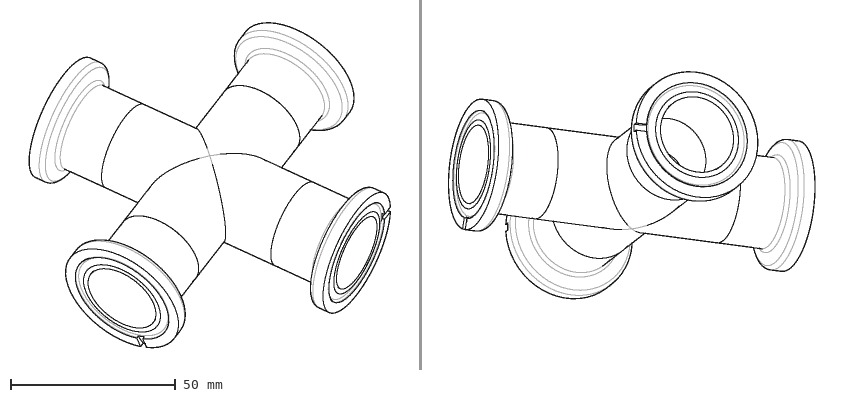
import cadquery as cq
import math

span = 104.0
ferrule_length = 22.0
pipe_radius = 28.0 / 2
bore_radius = 24.0 / 2

flange_radius = 40.0 / 2
flange_rim_width = 4.8
back_cone_angle = 15.0
rim_fillet = 1.6
neck_fillet = 1.4

groove_inner_radius = 13.6
groove_outer_radius = 16.5
groove_cone_angle = 20.0
groove_fillet = 0.5

notch_width = 2.3
notch_inner_depth = 0.7
notch_rim_depth = 1.6

half_span = span / 2
cross_reach = half_span - ferrule_length


def flange_and_neck():
    """Solid of revolution about Z: end face at Z = 0, neck running up to Z = ferrule_length."""
    cone_rise = (flange_radius - pipe_radius) * math.tan(math.radians(back_cone_angle))
    neck_start = flange_rim_width + cone_rise
    body = (
        cq.Workplane("XZ")
        .moveTo(0, 0)
        .lineTo(flange_radius, 0)
        .lineTo(flange_radius, flange_rim_width)
        .lineTo(pipe_radius, neck_start)
        .lineTo(pipe_radius, ferrule_length)
        .lineTo(0, ferrule_length)
        .close()
        .revolve(360, (0, 0, 0), (0, 1, 0))
    )
    rim_corner = cq.NearestToPointSelector((0, 0, flange_rim_width))
    neck_corner = cq.NearestToPointSelector((0, 0, neck_start))
    return body.edges(rim_corner).fillet(rim_fillet).edges(neck_corner).fillet(neck_fillet)


def gasket_groove():
    """Ring-shaped groove sunk into the end face, with a rounded outer bottom corner."""
    floor_slope = math.tan(math.radians(groove_cone_angle))
    wall_depth = (groove_outer_radius - groove_inner_radius) * floor_slope
    ring = (
        cq.Workplane("XZ")
        .moveTo(groove_inner_radius, 0)
        .lineTo(groove_outer_radius, 0)
        .lineTo(groove_outer_radius, wall_depth)
        .close()
        .revolve(360, (0, 0, 0), (0, 1, 0))
    )
    return ring.edges(">Z").fillet(groove_fillet)


def rim_notch():
    """Slot along +X with a sloping floor, from the groove bottom out to the rim."""
    notch_inner_radius = groove_outer_radius - groove_fillet
    return (
        cq.Workplane("XZ")
        .moveTo(notch_inner_radius, 0)
        .lineTo(flange_radius, 0)
        .lineTo(flange_radius, notch_rim_depth)
        .lineTo(notch_inner_radius, notch_inner_depth)
        .close()
        .extrude(notch_width / 2, both=True)
    )


def make_ferrule(end_direction, notch_direction):
    """Ferrule whose end face looks along end_direction, with its notch along notch_direction."""
    bore = cq.Workplane("XY").circle(bore_radius).extrude(ferrule_length)
    ferrule = flange_and_neck().cut(bore).cut(gasket_groove()).cut(rim_notch())
    end_plane = cq.Plane(
        origin=tuple(half_span * c for c in end_direction),
        xDir=notch_direction,
        normal=tuple(-c for c in end_direction),
    )
    return ferrule.val().moved(cq.Location(end_plane))


def make_cross():
    """Two equal pipes crossing at right angles in the XY plane."""
    def rods(radius):
        along_x = cq.Workplane("YZ").circle(radius).extrude(cross_reach, both=True)
        along_y = cq.Workplane("XZ").circle(radius).extrude(cross_reach, both=True)
        return along_x.union(along_y)

    return rods(pipe_radius).cut(rods(bore_radius))


notch_tilt = math.radians(-67.5)
tilted_notch = (math.cos(notch_tilt), 0, math.sin(notch_tilt))
side_notch = (0, 1, 0)

cross = make_cross()
ferrules = []
for side in (-1, 1):
    ferrules.append(make_ferrule((side, 0, 0), side_notch))
    ferrules.append(make_ferrule((0, side, 0), tilted_notch))

result = cq.Compound.makeCompound([cross.val(), *ferrules])